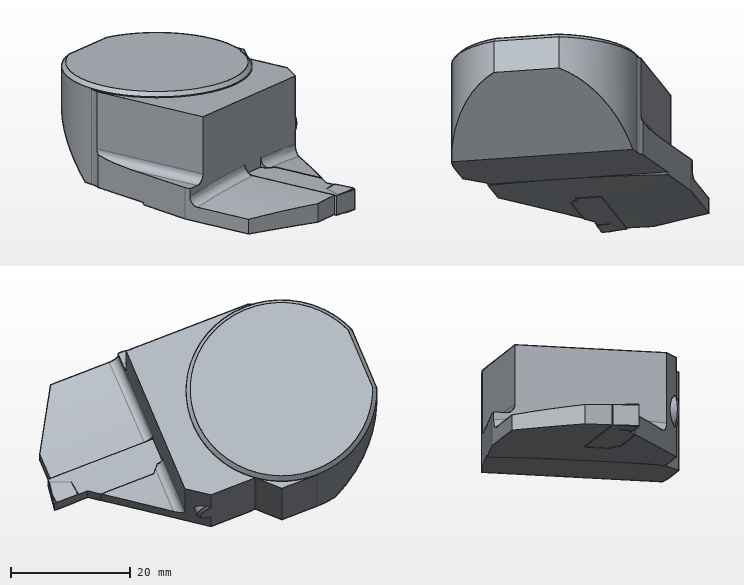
import cadquery as cq
import math


shank_radius = 16.0
shank_flat_x = -15.0
shank_top_z = 18.18
shank_chamfer = 0.7
base_z = 0.46
undercut_start_z = 12.0

block_top_z = 17.3
block_side_y = 16.3
block_back_y = 12.6
lug_end_x = 6.4
diagonal_start_x = 17.85
diagonal_end_x = 35.1
wall_x = 21.5

foot_y = -20.0
foot_corner_x = 20.5
foot_blend_end = (-0.1, -16.55)
foot_blend_start_x = -1.95
shank_overlap = 1.0
ledge_z = 5.57
ledge_fillet = 1.6

blade_end_x = 40.1
blade_end_corner_y = -9.0
blade_tip_x = 33.7
blade_top_z = 3.95
blade_top_radius = 150.0
blade_underside_radius = foot_y**2 / (2 * base_z)
blade_fillet = 1.6
underside_step_x = 10.4

screw_radius = 3.0
screw_edge_x = 20.2
screw_x = screw_edge_x - screw_radius
screw_z = 8.0
screw_length = 5.0
screw_chamfer = 0.45

insert_seat_y = -4.3
insert_crown_y = 1.45
insert_neck_x = 22.5
insert_crown_start_x = 23.7
cutting_edge_x = 41.1
cutting_edge_y = 0.1
insert_seat_end_x = 40.5
insert_mid_z = 2.11
insert_thickness = 3.5
head_back_x = 36.75
head_corner = (37.06, -2.35)
head_front = (40.45, -3.75)
cutting_width = 3.96
head_back_ramp = 0.3
head_bevel_length = 0.4
head_bevel_depth = 0.2

reach = 60.0


def diagonal_x(y):
    """X of the diagonal back edge at the given Y."""
    slope = (diagonal_end_x - diagonal_start_x) / (block_back_y - cutting_edge_y)
    return diagonal_end_x - slope * (y - cutting_edge_y)


def shank_point(x):
    """Point on the -Y side of the shank circle."""
    return (x, -math.sqrt(shank_radius**2 - x**2))


def make_box(x_range, y_range, z_range):
    """Axis-aligned box between the given limits."""
    size = [limits[1] - limits[0] for limits in (x_range, y_range, z_range)]
    corner = (x_range[0], y_range[0], z_range[0])
    return cq.Workplane("XY").box(*size, centered=False).translate(corner)


def lengthwise_cylinder(radius, crest_z):
    """Cylinder along X whose highest line lies at Y = 0, Z = crest_z."""
    plane = cq.Workplane("YZ", origin=(-reach, 0, 0))
    return plane.center(0, crest_z - radius).circle(radius).extrude(2 * reach)


def make_shank():
    shank = cq.Workplane("XY", origin=(0, 0, base_z)).circle(shank_radius).extrude(shank_top_z - base_z)
    beyond_flat = make_box((-reach, shank_flat_x), (-reach, reach), (-reach, reach))
    shank = shank.cut(beyond_flat).faces(">Z").chamfer(shank_chamfer)
    undercut_depth = undercut_start_z - base_z
    undercut = (
        cq.Workplane("XZ", origin=(0, reach, 0))
        .moveTo(shank_flat_x, undercut_start_z)
        .lineTo(shank_flat_x + undercut_depth, base_z)
        .lineTo(shank_flat_x, base_z)
        .close()
        .extrude(2 * reach)
    )
    return shank.cut(undercut)


def make_block_and_blade():
    """Plan shape of block, foot and blade at full height."""
    lug_slope_end_x = lug_end_x + shank_radius - block_back_y
    return (
        cq.Workplane("XY")
        .moveTo(*shank_point(foot_blend_start_x - shank_overlap))
        .threePointArc(shank_point(foot_blend_start_x - shank_overlap / 2), shank_point(foot_blend_start_x))
        .tangentArcPoint(foot_blend_end, relative=False)
        .lineTo(foot_corner_x, foot_y)
        .lineTo(blade_tip_x, foot_y)
        .lineTo(blade_end_x, blade_end_corner_y)
        .lineTo(blade_end_x, cutting_edge_y)
        .lineTo(diagonal_end_x, cutting_edge_y)
        .lineTo(diagonal_start_x, block_back_y)
        .lineTo(lug_slope_end_x, block_back_y)
        .lineTo(lug_end_x, shank_radius)
        .lineTo(0, shank_radius)
        .close()
        .extrude(block_top_z)
    )


def ledge_cut():
    """Space above the foot, rounded where it meets the block side."""
    space = make_box((-reach, reach), (-reach, -block_side_y), (ledge_z, reach))
    return space.edges("|X and >Y and <Z").fillet(ledge_fillet)


def blade_cut():
    """Space above the blade, rounded where it meets the block wall."""
    space = make_box((wall_x, reach), (-reach / 2, reach / 2), (-reach, reach))
    space = space.cut(lengthwise_cylinder(blade_top_radius, blade_top_z))
    return space.faces("<X").edges("<Z").fillet(blade_fillet)


def underside_cuts():
    """Hollow under the blade, and the 45 degree step up to the shank underside."""
    hollow = lengthwise_cylinder(blade_underside_radius, base_z)
    step = (
        cq.Workplane("XZ", origin=(0, reach, 0))
        .moveTo(-reach, 0)
        .lineTo(underside_step_x + base_z, 0)
        .lineTo(underside_step_x, base_z)
        .lineTo(-reach, base_z)
        .close()
        .extrude(2 * reach)
    )
    return hollow, step


def make_screw_head():
    plane = cq.Workplane("XZ", origin=(screw_x, block_back_y, screw_z))
    return plane.circle(screw_radius).extrude(screw_length).faces(">Y").chamfer(screw_chamfer)


def insert_profile(bottom_z):
    """Side outline of the insert, from the block wall to the cutting edge."""
    return (
        cq.Workplane("XY", origin=(0, 0, bottom_z))
        .moveTo(wall_x, insert_seat_y)
        .lineTo(insert_seat_end_x, insert_seat_y)
        .lineTo(cutting_edge_x, cutting_edge_y)
        .lineTo(diagonal_end_x, cutting_edge_y)
        .lineTo(diagonal_x(insert_crown_y), insert_crown_y)
        .lineTo(insert_crown_start_x, insert_crown_y)
        .lineTo(insert_neck_x, cutting_edge_y)
        .lineTo(wall_x, cutting_edge_y)
        .close()
    )


def make_head_flare():
    """Wedge that widens the insert towards its cutting edge, on the +Z side."""
    face_z = insert_mid_z + insert_thickness / 2
    flare = (cutting_width - insert_thickness) / 2
    run_x = head_front[0] - head_corner[0]
    run_y = head_front[1] - head_corner[1]
    along = cq.Vector(run_x, run_y, 0).normalized()
    across = cq.Vector(0, 0, 1).cross(along)
    tip = cq.Vector(cutting_edge_x - head_corner[0], cutting_edge_y - head_corner[1], 0)
    flare_width = tip.dot(across)
    plane = cq.Plane(origin=(*head_corner, face_z), xDir=across, normal=along)
    wedge = cq.Workplane(plane).polyline([(0, 0), (flare_width, 0), (flare_width, flare)]).close()
    wedge = wedge.extrude(reach / 2, both=True)
    outline = [
        (head_back_x, cutting_edge_y),
        head_corner,
        head_front,
        (cutting_edge_x, cutting_edge_y),
    ]
    head = cq.Workplane("XY", origin=(0, 0, face_z)).polyline(outline).close().extrude(flare)
    side_profile = (
        cq.Workplane("XZ", origin=(0, reach, face_z))
        .moveTo(head_back_x, 0)
        .lineTo(head_back_x + head_back_ramp, flare)
        .lineTo(cutting_edge_x - head_bevel_length, flare)
        .lineTo(cutting_edge_x, flare - head_bevel_depth)
        .lineTo(cutting_edge_x, 0)
        .close()
        .extrude(2 * reach)
    )
    return head.intersect(wedge).intersect(side_profile)


def make_insert():
    body = insert_profile(insert_mid_z - insert_thickness / 2).extrude(insert_thickness)
    flare = make_head_flare()
    opposite_flare = flare.mirror("XY", (0, 0, insert_mid_z))
    return body.union(flare).union(opposite_flare)


def make_holder():
    holder = make_block_and_blade().cut(ledge_cut()).cut(blade_cut())
    for cutter in underside_cuts():
        holder = holder.cut(cutter)
    holder = holder.union(make_shank()).union(make_screw_head())
    seat = insert_profile(0).extrude(block_top_z)
    return holder.cut(seat)


holder = make_holder()
insert = make_insert()

result = cq.Compound.makeCompound([holder.solids().val(), insert.solids().val()])